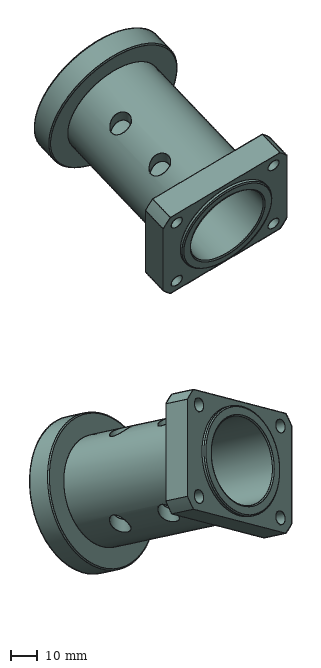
import cadquery as cq

total_length = 81.0
bore_diameter = 34.0
tube_diameter = 43.0
edge_chamfer = 0.5

flange_diameter = 60.0
flange_thickness = 10.05

spigot_diameter = 42.0
spigot_length = 1.5

plate_width = 58.0
plate_height = 46.2
plate_thickness = 11.0
plate_corner_diameter = 69.0
plate_end = total_length - spigot_length
plate_start = plate_end - plate_thickness

bolt_diameter = 5.2
bolt_spacing_y = 45.3
bolt_spacing_z = 35.3

cross_hole_diameter = 8.0
cross_hole_y = -11.25
cross_hole_first_x = 29.3
cross_hole_pitch = 24.5
cross_hole_count = 2


def section_at(x):
    """Workplane normal to the sleeve axis; its local axes are Y and Z."""
    return cq.Workplane("YZ", origin=(x, 0, 0))


def cylinder(start, length, diameter):
    return section_at(start).circle(diameter / 2).extrude(length)


def make_flange():
    flange = cylinder(0, flange_thickness, flange_diameter)
    return flange.edges().chamfer(edge_chamfer)


def make_plate():
    plate = section_at(plate_start).rect(plate_width, plate_height).extrude(plate_thickness)
    corner_cylinder = cylinder(plate_start, plate_thickness, plate_corner_diameter)
    bolts = (
        section_at(plate_start)
        .rect(bolt_spacing_y, bolt_spacing_z, forConstruction=True)
        .vertices()
        .circle(bolt_diameter / 2)
        .extrude(plate_thickness)
    )
    return plate.intersect(corner_cylinder).cut(bolts)


def make_spigot():
    spigot = cylinder(plate_end, spigot_length, spigot_diameter)
    return spigot.faces(">X").edges().chamfer(edge_chamfer)


def make_bore():
    """Through bore that flares into a small chamfer at the spigot end."""
    bore = cylinder(0, total_length, bore_diameter)
    flare = (
        section_at(total_length)
        .circle(bore_diameter / 2 + edge_chamfer)
        .workplane(offset=-edge_chamfer)
        .circle(bore_diameter / 2)
        .loft(ruled=True)
    )
    return bore.union(flare)


def make_cross_holes():
    centers = [(cross_hole_first_x + i * cross_hole_pitch, cross_hole_y) for i in range(cross_hole_count)]
    return (
        cq.Workplane("XY")
        .pushPoints(centers)
        .circle(cross_hole_diameter / 2)
        .extrude(tube_diameter / 2, both=True)
    )


tube = cylinder(0, plate_end, tube_diameter)
body = tube.union(make_flange()).union(make_plate()).union(make_spigot())
result = body.cut(make_bore()).cut(make_cross_holes())